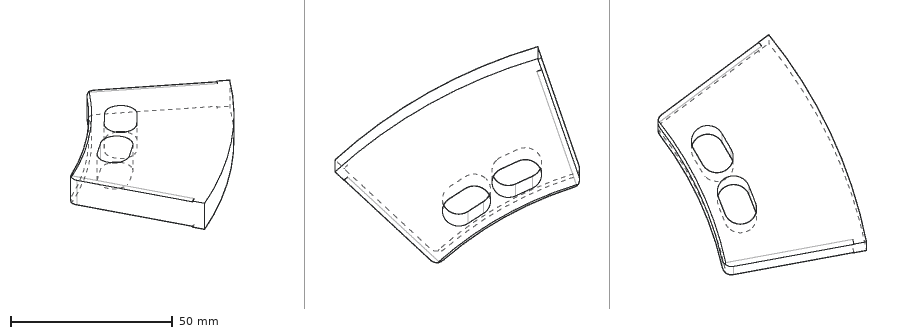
import cadquery as cq
import math

sweep_angle = 27.0
outer_radius = 157.5
inner_radius = 112.55
thickness = 9.5
corner_radius = 3.0

inner_chamfer_width = 0.85
inner_chamfer_height = 0.7

side_bevel_width = 1.6
side_bevel_height = 0.3
side_bevel_end_gap = 4.0

slot_circle_radius = 122.4
slot_angles = (9.8, 18.3)
slot_width = 10.1
slot_length = 15.95


def polar(radius, angle):
    radians = math.radians(angle)
    return (radius * math.cos(radians), radius * math.sin(radians))


def ring_segment():
    half_angle = sweep_angle / 2
    plate = (
        cq.Workplane("XY")
        .moveTo(*polar(inner_radius, 0))
        .lineTo(*polar(outer_radius, 0))
        .threePointArc(polar(outer_radius, half_angle), polar(outer_radius, sweep_angle))
        .lineTo(*polar(inner_radius, sweep_angle))
        .threePointArc(polar(inner_radius, half_angle), polar(inner_radius, 0))
        .close()
        .extrude(thickness)
    )
    for angle in (0, sweep_angle):
        corner = (*polar(inner_radius, angle), thickness / 2)
        plate = plate.edges(cq.selectors.NearestToPointSelector(corner)).fillet(corner_radius)
    return plate


def inner_chamfer_cutter():
    """Ring with a triangular section that trims the upper edge of the inner arc."""
    return (
        cq.Workplane("XZ")
        .moveTo(inner_radius, thickness)
        .lineTo(inner_radius + inner_chamfer_width, thickness)
        .lineTo(inner_radius, thickness - inner_chamfer_height)
        .close()
        .revolve(360, (0, 0, 0), (0, 1, 0))
    )


def side_bevel_cutter():
    """Triangular prism that trims the upper edge of the side on the +X axis."""
    start = inner_radius - corner_radius
    end = outer_radius - side_bevel_end_gap
    return (
        cq.Workplane("YZ", origin=(start, 0, 0))
        .moveTo(0, thickness)
        .lineTo(side_bevel_width, thickness)
        .lineTo(0, thickness - side_bevel_height)
        .close()
        .extrude(end - start)
    )


def on_far_side(shape):
    """Reflect a shape across the mid-angle plane, from one straight side to the other."""
    return shape.mirror("XZ").rotate((0, 0, 0), (0, 0, 1), sweep_angle)


def on_lower_face(shape):
    return shape.mirror("XY", (0, 0, thickness / 2))


def slot_cutter(angle):
    return (
        cq.Workplane("XY")
        .center(slot_circle_radius, 0)
        .slot2D(slot_length, slot_width, 90)
        .extrude(thickness)
        .rotate((0, 0, 0), (0, 0, 1), angle)
    )


result = ring_segment()

near_bevel = side_bevel_cutter()
for cutter in (inner_chamfer_cutter(), near_bevel, on_far_side(near_bevel)):
    result = result.cut(cutter).cut(on_lower_face(cutter))

for slot_angle in slot_angles:
    result = result.cut(slot_cutter(slot_angle))